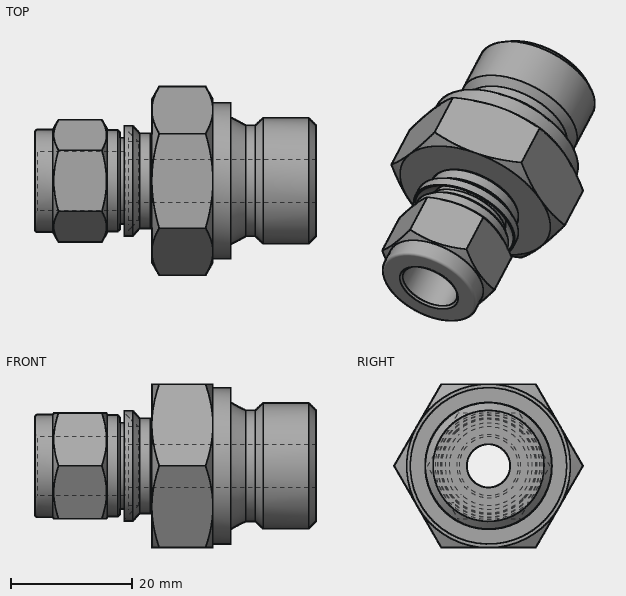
import cadquery as cq
import math

length = 46.4

nut_diameter = 17.0
nut_front_round = 0.45
nut_tail_diameter = 16.8
nut_tail_chamfer = 0.4
nut_hex_start = 2.95
nut_hex_end = 11.97
nut_hex_flats = 17.5
nut_end = 14.05

gap_diameter = 14.3
gap_end = 15.4
recess_floor_diameter = 13.05
ring_start = 14.7
ring_rim_end = 16.15
ring_diameter = 18.25
ring_cone_end = 17.25
ring_recess_diameter = 17.65
ring_recess_depth = 2.3
neck_diameter = 15.8
neck_end = 19.07
neck_undercut_diameter = 15.5

body_hex_start = 19.3
body_hex_end = 29.4
body_hex_flats = 27.0
collar_end = 32.35
collar_diameter = 25.8

thread_diameter = 20.85
flare_diameter = 21.0
relief_diameter = 18.4
relief_start = 34.8
relief_end = 36.4
thread_start = 37.7
thread_chamfer = 1.25

through_diameter = 7.1
tube_diameter = 9.75
tube_depth = 14.85
mouth_chamfer = 0.35

hex_chamfer_angle = math.radians(30)


def revolve_profile(outer_points):
    """Revolve (x, radius) points, closed along the axis, about X."""
    points = [(outer_points[0][0], 0), *outer_points, (outer_points[-1][0], 0)]
    return cq.Workplane("XY").polyline(points).close().revolve(360, (0, 0, 0), (1, 0, 0))


def cylinder(start, end, diameter):
    return revolve_profile([(start, diameter / 2), (end, diameter / 2)])


def chamfered_hexagon(start, end, flats, end_diameter):
    """Hexagon along X, corners pointing to +Y and -Y, with ends coned down to end_diameter."""
    corners = flats / math.cos(math.pi / 6)
    cone_length = (corners - end_diameter) / 2 * math.tan(hex_chamfer_angle)
    prism = cq.Workplane("YZ").workplane(offset=start).polygon(6, corners).extrude(end - start)
    envelope = revolve_profile([
        (start, end_diameter / 2),
        (start + cone_length, corners / 2),
        (end - cone_length, corners / 2),
        (end, end_diameter / 2),
    ])
    return prism.intersect(envelope)


def compression_nut():
    front = cylinder(0, nut_hex_end, nut_diameter)
    front = front.faces("<X").edges().fillet(nut_front_round)
    hexagon = chamfered_hexagon(nut_hex_start, nut_hex_end, nut_hex_flats, nut_diameter)
    tail = cylinder(nut_hex_end, nut_end, nut_tail_diameter)
    tail = tail.faces(">X").edges().chamfer(nut_tail_chamfer)
    return front.union(hexagon).union(tail)


def fitting_body():
    turned = revolve_profile([
        (nut_hex_end, gap_diameter / 2),
        (gap_end, gap_diameter / 2),
        (gap_end, recess_floor_diameter / 2),
        (ring_start + ring_recess_depth, recess_floor_diameter / 2),
        (ring_start, ring_recess_diameter / 2),
        (ring_start, ring_diameter / 2),
        (ring_rim_end, ring_diameter / 2),
        (ring_cone_end, neck_diameter / 2),
        (neck_end, neck_diameter / 2),
        (body_hex_start, neck_undercut_diameter / 2),
        (body_hex_end, neck_undercut_diameter / 2),
        (body_hex_end, collar_diameter / 2),
        (collar_end, collar_diameter / 2),
        (collar_end, flare_diameter / 2),
        (relief_start, relief_diameter / 2),
        (relief_end, relief_diameter / 2),
        (thread_start, thread_diameter / 2),
        (length - thread_chamfer, thread_diameter / 2),
        (length, thread_diameter / 2 - thread_chamfer),
    ])
    hexagon = chamfered_hexagon(body_hex_start, body_hex_end, body_hex_flats, body_hex_flats)
    return turned.union(hexagon)


def bore():
    tube_socket = revolve_profile([
        (0, tube_diameter / 2 + mouth_chamfer),
        (mouth_chamfer, tube_diameter / 2),
        (tube_depth, tube_diameter / 2),
    ])
    return tube_socket.union(cylinder(0, length, through_diameter))


result = compression_nut().union(fitting_body()).cut(bore())